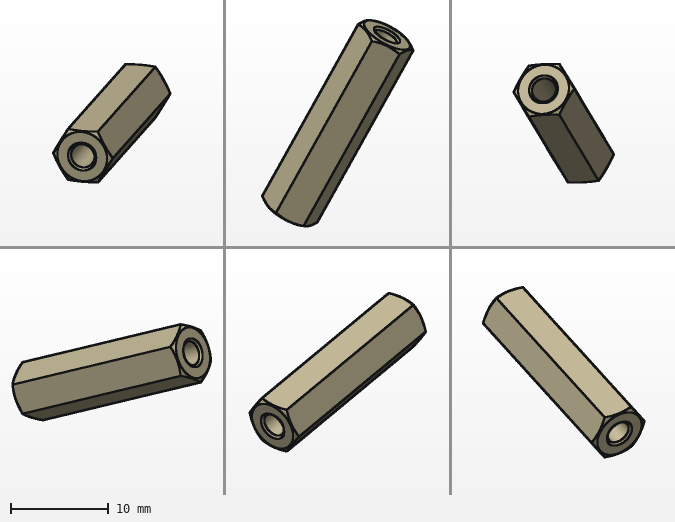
import cadquery as cq
import math

length = 22.0
across_flats = 5.5
end_face_diameter = 5.3
corner_chamfer_angle = 30.0
hole_diameter = 2.5
hole_mouth_diameter = 3.0
hole_depth = 8.0
drill_tip_angle = 120.0

across_corners = across_flats / math.cos(math.radians(30))
corner_radius = across_corners / 2
end_face_radius = end_face_diameter / 2
hole_radius = hole_diameter / 2
mouth_radius = hole_mouth_diameter / 2
mouth_depth = mouth_radius - hole_radius
corner_drop = (corner_radius - end_face_radius) * math.tan(math.radians(corner_chamfer_angle))
tip_depth = hole_radius / math.tan(math.radians(drill_tip_angle / 2))
half_length = length / 2


def revolve_about_y(profile):
    """Revolve a closed XY outline fully around the Y axis."""
    return profile.revolve(360, (0, 0, 0), (0, 1, 0))


def hex_bar():
    """Hexagonal bar with corners on +X and -X and flats on +Z and -Z."""
    return cq.Workplane("XZ").polygon(6, across_corners).extrude(half_length, both=True)


def corner_envelope():
    """Turned blank whose bevelled ends trim the corners of the hexagon."""
    outline = (
        cq.Workplane("XY")
        .moveTo(0, -half_length)
        .lineTo(end_face_radius, -half_length)
        .lineTo(corner_radius, -half_length + corner_drop)
        .lineTo(corner_radius, half_length - corner_drop)
        .lineTo(end_face_radius, half_length)
        .lineTo(0, half_length)
        .close()
    )
    return revolve_about_y(outline)


def blind_hole():
    """Countersunk blind hole with a conical bottom, entering from the -Y end."""
    outline = (
        cq.Workplane("XY")
        .moveTo(0, -half_length)
        .lineTo(mouth_radius, -half_length)
        .lineTo(hole_radius, -half_length + mouth_depth)
        .lineTo(hole_radius, -half_length + hole_depth)
        .lineTo(0, -half_length + hole_depth + tip_depth)
        .close()
    )
    return revolve_about_y(outline)


front_hole = blind_hole()
back_hole = front_hole.mirror("XZ")

result = hex_bar().intersect(corner_envelope()).cut(front_hole).cut(back_hole)